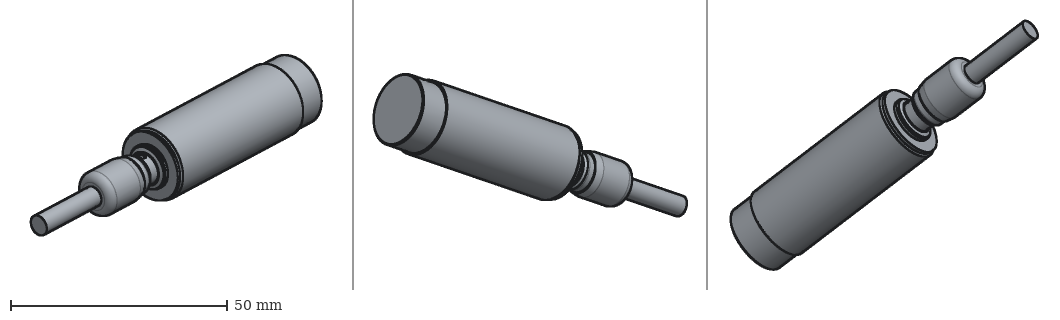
import cadquery as cq

TOTAL_LENGTH = 89.2
SLEEVE_REAR = 19.0
SLEEVE_TAPER_START = 29.2
SLEEVE_FRONT = 31.3
COLLAR_TAPER_START = 32.9
COLLAR_BEVEL_START = 33.45
COLLAR_FRONT = 34.25
FLANGE_REAR = 37.1
FLANGE_CONE_END = 37.55
FLANGE_BEVEL_END = 38.0
FLANGE_FRONT = 38.8
BODY_BEVEL_START = 39.6
BODY_REAR = 40.1
BODY_FRONT = 82.0

BODY_RADIUS = 9.0
CAP_RADIUS = 8.6
FLANGE_RADIUS = 5.5
FLANGE_CONE_RADIUS = 5.3
FLANGE_REAR_RADIUS = 4.2
SLEEVE_RADIUS = 5.5
SLEEVE_FRONT_RADIUS = 5.1
SLEEVE_TAPER_MID_RADIUS = 5.35
COLLAR_RADIUS = 4.8
COLLAR_BEVEL_RADIUS = 4.7
COLLAR_FRONT_RADIUS = 4.2
NECK_RADIUS = 3.9
CABLE_RADIUS = 2.5

CAP_CHAMFER = 0.3
SLEEVE_ROUND = 2.05

LIGHT_POSITION = 35.8
LIGHT_HOLE_RADIUS = 1.1
LIGHT_DOME_RADIUS = 1.0


def turned_profile():
    """Half section in the XY plane: X is the radius and Y runs along the axis."""
    taper_middle = (SLEEVE_TAPER_START + SLEEVE_FRONT) / 2
    return (
        cq.Workplane("XY")
        .moveTo(0, 0)
        .lineTo(CABLE_RADIUS, 0)
        .lineTo(CABLE_RADIUS, SLEEVE_REAR)
        .lineTo(SLEEVE_RADIUS - SLEEVE_ROUND, SLEEVE_REAR)
        .radiusArc((SLEEVE_RADIUS, SLEEVE_REAR + SLEEVE_ROUND), -SLEEVE_ROUND)
        .lineTo(SLEEVE_RADIUS, SLEEVE_TAPER_START)
        .threePointArc((SLEEVE_TAPER_MID_RADIUS, taper_middle), (SLEEVE_FRONT_RADIUS, SLEEVE_FRONT))
        .lineTo(COLLAR_RADIUS, SLEEVE_FRONT)
        .lineTo(COLLAR_RADIUS, COLLAR_TAPER_START)
        .lineTo(COLLAR_BEVEL_RADIUS, COLLAR_BEVEL_START)
        .lineTo(COLLAR_FRONT_RADIUS, COLLAR_FRONT)
        .lineTo(NECK_RADIUS, COLLAR_FRONT)
        .lineTo(NECK_RADIUS, FLANGE_REAR)
        .lineTo(FLANGE_REAR_RADIUS, FLANGE_REAR)
        .lineTo(FLANGE_CONE_RADIUS, FLANGE_CONE_END)
        .lineTo(FLANGE_RADIUS, FLANGE_BEVEL_END)
        .lineTo(FLANGE_RADIUS, FLANGE_FRONT)
        .lineTo(CAP_RADIUS, FLANGE_FRONT)
        .lineTo(CAP_RADIUS, BODY_BEVEL_START)
        .lineTo(BODY_RADIUS, BODY_REAR)
        .lineTo(BODY_RADIUS, BODY_FRONT)
        .lineTo(CAP_RADIUS, BODY_FRONT)
        .lineTo(CAP_RADIUS, TOTAL_LENGTH - CAP_CHAMFER)
        .lineTo(CAP_RADIUS - CAP_CHAMFER, TOTAL_LENGTH)
        .lineTo(0, TOTAL_LENGTH)
        .close()
    )


def light_cylinder(base_height):
    """Vertical cylinder of the light hole, from the given height to above the neck."""
    return (
        cq.Workplane("XY", origin=(0, LIGHT_POSITION, base_height))
        .circle(LIGHT_HOLE_RADIUS)
        .extrude(BODY_RADIUS)
    )


def add_indicator_light(body):
    """Drill the light hole and seat a dome in it, its top level with the neck."""
    floor_height = NECK_RADIUS - LIGHT_DOME_RADIUS
    dome = cq.Workplane("XY").sphere(LIGHT_DOME_RADIUS).translate((0, LIGHT_POSITION, floor_height))
    return body.cut(light_cylinder(floor_height)).union(dome)


turned_body = turned_profile().revolve(360, (0, 0, 0), (0, 1, 0))
result = add_indicator_light(turned_body)